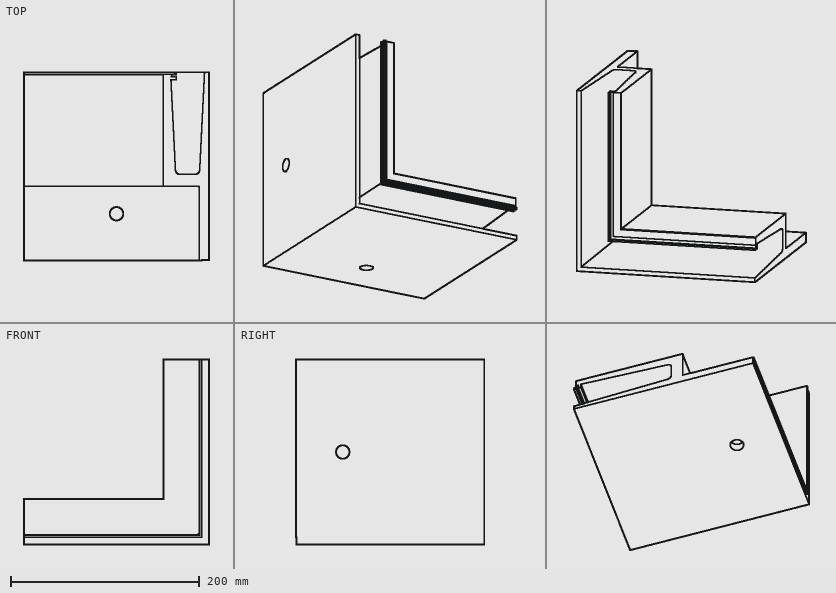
import cadquery as cq

arm_length = 196.0
depth = 200.0

plate_thickness = 10.6
lip_overhang = 1.0
lip_bottom = 7.8
lip_chamfer = 0.6

block_front = 79.2
block_height = 48.5
foot_fillet = 1.0
block_end = 197.8
end_chamfer = 0.8

channel_floor = 91.8
channel_fillet = 4.8
floor_low = 10.2
floor_high = 35.5
mouth_low = 4.8
mouth_high = 40.5

tooth_tip = 34.8
tooth_root = 39.6
outer_tooth_inner_side = 197.2
outer_tooth_top = 36.6
inner_tooth_back = 195.0
inner_tooth_front = 192.0

hole_diameter = 14.0
hole_depth_position = 50.0

slack = 0.2


def arm_profile(plane):
    """Closed cross-section: local x runs along the depth, local y away from the outer face."""
    return (
        cq.Workplane(plane)
        .moveTo(lip_overhang, 0)
        .lineTo(depth, 0)
        .lineTo(depth, mouth_low)
        .lineTo(channel_floor, floor_low)
        .lineTo(channel_floor, floor_high)
        .lineTo(inner_tooth_front, mouth_high)
        .lineTo(inner_tooth_front, tooth_tip)
        .lineTo(inner_tooth_back, tooth_tip)
        .lineTo(inner_tooth_back, tooth_root)
        .lineTo(outer_tooth_inner_side, tooth_root)
        .lineTo(outer_tooth_inner_side, tooth_tip)
        .lineTo(depth, tooth_tip)
        .lineTo(depth, outer_tooth_top)
        .lineTo(block_end, outer_tooth_top)
        .lineTo(block_end, block_height - end_chamfer)
        .lineTo(block_end - end_chamfer, block_height)
        .lineTo(block_front, block_height)
        .lineTo(block_front, plate_thickness + foot_fillet)
        .radiusArc((block_front - foot_fillet, plate_thickness), foot_fillet)
        .lineTo(lip_chamfer, plate_thickness)
        .lineTo(0, plate_thickness - lip_chamfer)
        .lineTo(0, lip_bottom)
        .lineTo(lip_overhang, lip_bottom)
        .close()
    )


def make_arm(plane):
    """Full-length arm with rounded channel floor corners and its mounting hole."""
    arm = arm_profile(plane).extrude(arm_length)
    floor_corners = cq.selectors.BoxSelector(
        plane.toWorldCoords((channel_floor - slack, floor_low - slack, -slack)),
        plane.toWorldCoords((channel_floor + slack, floor_high + slack, arm_length + slack)),
    )
    arm = arm.edges(floor_corners).edges(cq.selectors.ParallelDirSelector(plane.zDir))
    arm = arm.fillet(channel_fillet)
    hole_plane = cq.Plane(
        origin=plane.toWorldCoords((hole_depth_position, 0, arm_length / 2)),
        xDir=plane.xDir,
        normal=plane.yDir,
    )
    hole = cq.Workplane(hole_plane).circle(hole_diameter / 2).extrude(plate_thickness)
    return arm.cut(hole)


def mitre_wedge(end_corner):
    """Triangular prism holding the part of an arm on its own side of the mitre."""
    inner_corner = (-arm_length, arm_length)
    return (
        cq.Workplane("XZ")
        .polyline([(0, 0), end_corner, inner_corner])
        .close()
        .extrude(-depth)
    )


lower_plane = cq.Plane(origin=(-arm_length, 0, 0), xDir=(0, 1, 0), normal=(1, 0, 0))
upright_plane = cq.Plane(origin=(0, 0, 0), xDir=(0, 1, 0), normal=(0, 0, 1))

lower_arm = make_arm(lower_plane).intersect(mitre_wedge((-arm_length, 0)))
upright_arm = make_arm(upright_plane).intersect(mitre_wedge((0, arm_length)))

result = lower_arm.union(upright_arm, clean=False)